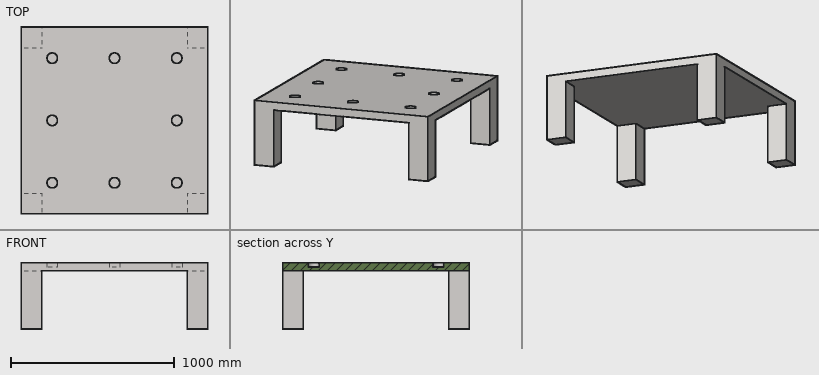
import cadquery as cq

side = 1143.0
height = 407.0
top_thickness = 50.0

leg_width = 127.0
leg_height = height - top_thickness

hole_diameter = 64.0
hole_depth = 25.0
hole_spacing = side / 3


def make_top():
    """Square plate resting on the legs."""
    plate = cq.Workplane("XY").box(side, side, top_thickness, centered=(True, True, False))
    return plate.translate((0, 0, leg_height))


def make_legs():
    """Four legs standing on Z = 0, running up to the underside of the top."""
    leg_pitch = side - leg_width
    return (
        cq.Workplane("XY")
        .rect(leg_pitch, leg_pitch, forConstruction=True)
        .vertices()
        .rect(leg_width, leg_width)
        .extrude(leg_height)
    )


def make_holes():
    """Cylinders that cut the ring of eight holes down from the upper face."""
    steps = (-1, 0, 1)
    centres = [
        (column * hole_spacing, row * hole_spacing)
        for column in steps
        for row in steps
        if (column, row) != (0, 0)
    ]
    return (
        cq.Workplane("XY", origin=(0, 0, height))
        .pushPoints(centres)
        .circle(hole_diameter / 2)
        .extrude(-hole_depth)
    )


result = make_top().union(make_legs()).cut(make_holes())